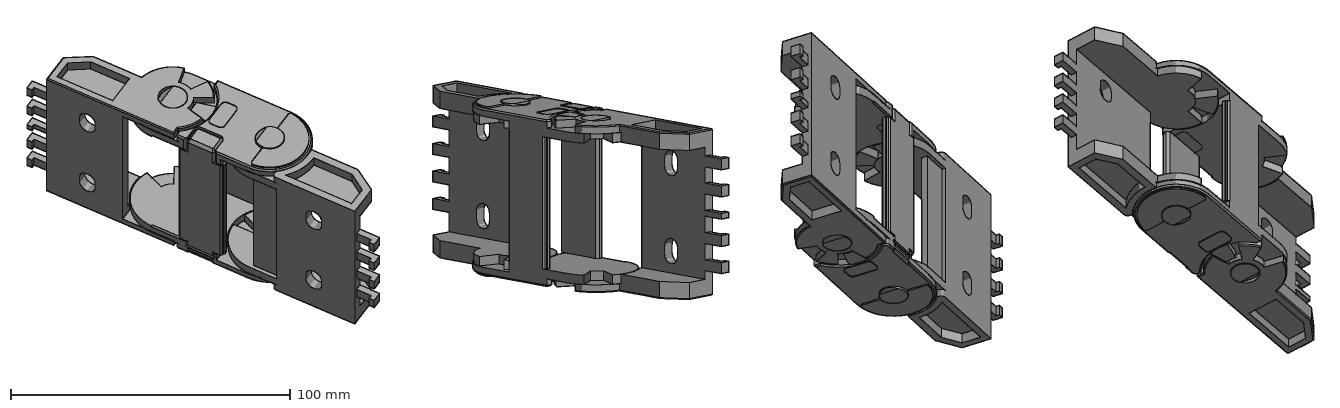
import cadquery as cq
import math

PIN_PITCH = 40.0
LEFT_PIN_X = -PIN_PITCH / 2
RIGHT_PIN_X = PIN_PITCH / 2

INNER_Z = 24.1
SPLIT_Z = 27.5
OUTER_Z = 30.4
CAP_Z = 31.0
PIN_TOP_Z = 62.4 / 2
LEFT_PIN_BOTTOM_Z = -30.7

BRACKET_RADIUS = 14.9
LINK_RADIUS = 30.5 / 2
BRACKET_SEAT_RADIUS = 15.6
LINK_SEAT_RADIUS = 15.9
TONGUE_SEAT_RADIUS = 15.3
PIN_RADIUS = 5.2
PIN_HOLE_RADIUS = 5.3
LEFT_FACET = (2.6, 1.7)
RIGHT_FACET = (1.7, 0.6)
BRACKET_CHAMFER = 0.5
LINK_CHAMFER = 0.6

BRACKET_END_X = 63.7
BRACKET_END_Y = -2.9
SHOULDER_X = 54.6
SHOULDER_Y = 3.0
PLATE_TOP_Y = -11.0
PLATE_STEP_Y = -13.5
LEFT_PLATE_END_X = -32.1
LEFT_DISC_FOOT_X = -11.0
RIGHT_PLATE_END_X = 31.3
RIGHT_LEDGE_END_X = 21.0
RIGHT_FOOT_X = 29.5
FOOT_ROUND = 1.7

SLOT_X = 46.7
SLOT_Z = 16.0
SLOT_WIDTH = 6.3
SLOT_LENGTH = 9.2

POCKET_DEPTH = 3.9
POCKET_END_X = 60.8
POCKET_END_Y = -4.6
POCKET_SHOULDER_X = 53.9
POCKET_TOP_Y = 0.0
POCKET_BOTTOM_Y = -12.2
LEFT_POCKET_INNER_X = -37.9
RIGHT_POCKET_RADIUS = 18.2

TINE_END_X = 71.7
TINE_HOOK = 2.2
TINE_WIDTH = 4.0
MIDDLE_TINE_WIDTH = 2.2
LEFT_TINE_Z = (9.0, 19.0)
RIGHT_TINE_Z = (5.0, 15.0)

HUB_RADIUS = 7.5
STOP_NOTCH_ANGLES = ((-14, 29), (61, 104))
REST_INNER_RADIUS = 8.5
REST_ANGLES = (-13.5, 15)
REST_OUTER_RADIUS = 16.5
REST_Z = 30.0
BLOCK_INNER_RADIUS = 6.9
BLOCK_ANGLES = (118, 157)
BLOCK_NOTCH_ANGLES = (75, 180)

LINK_OUTER_X = -10.3
LINK_INNER_X = 8.5
BAR_WIDTH = 19.0
BAR_THICKNESS = 3.5
BAR_STEP = 0.6
BAR_STEP_DEPTH = 1.3
BAR_CHAMFER = 0.6
BAR_REAR_CHAMFER = 1.0
INNER_EDGE_CHAMFER = 0.6
HALF_DISC_RADIUS = 14.0
HALF_DISC_ROUND = 1.1
LABEL_X, LABEL_Y = -0.3, 1.7
LABEL_SIZE = (6.3, 11.8)
LABEL_ROUND = 1.7
LABEL_DEPTH = 0.3
LUG_WIDTH = 11.8
LUG_TOP_Y = -7.5
LUG_CHAMFER = 1.1
LUG_FRONT_CHAMFER = 0.9
LUG_ROUND = 2.0
MOUTH_CHAMFER = 1.0
FOOT_WIDTH = 10.3
FOOT_Z = -26.1
FOOT_RELIEF_X = 6.7
GROOVE_HEIGHT = 0.9
GROOVE_DEPTH = 0.7
GROOVE_Z = -28.4

SEAT_ARC_ANGLE = -20
FAR = 43.0


def box(x_range, y_range, z_range):
    """Box between two limits along each axis."""
    lows, highs = zip(x_range, y_range, z_range)
    sizes = [high - low for low, high in zip(lows, highs)]
    return cq.Workplane("XY").box(*sizes, centered=False).translate(lows)


def disc(center_x, radius, z_range):
    """Disc around a hinge axis."""
    return (
        cq.Workplane("XY", origin=(center_x, 0, z_range[0]))
        .circle(radius)
        .extrude(z_range[1] - z_range[0])
    )


def on_circle(center_x, radius, degrees):
    angle = math.radians(degrees)
    return (center_x + radius * math.cos(angle), radius * math.sin(angle))


def sector(center_x, radii, angles, z_range):
    """Ring sector around a hinge axis."""
    inner, outer = radii
    start, end = angles
    middle = (start + end) / 2
    return (
        cq.Workplane("XY", origin=(0, 0, z_range[0]))
        .moveTo(*on_circle(center_x, inner, start))
        .lineTo(*on_circle(center_x, outer, start))
        .threePointArc(on_circle(center_x, outer, middle), on_circle(center_x, outer, end))
        .lineTo(*on_circle(center_x, inner, end))
        .threePointArc(on_circle(center_x, inner, middle), on_circle(center_x, inner, start))
        .close()
        .extrude(z_range[1] - z_range[0])
    )


def both_sides(shape):
    """The shape and its mirror image below the middle plane."""
    return shape.union(shape.mirror("XY"))


def circle_x(radius, y):
    """Half chord of a hinge circle at height y."""
    return math.sqrt(radius**2 - y**2)


def hinge_pin(center_x, top_z, facet):
    """Pin standing on a tongue, with a sloping facet on its -X side."""
    facet_width, facet_drop = facet
    pin = disc(center_x, PIN_RADIUS, (SPLIT_Z, top_z))
    left_x = center_x - PIN_RADIUS
    wedge = (
        cq.Workplane("XZ")
        .polyline([(left_x, top_z - facet_drop), (left_x + facet_width, top_z), (left_x, top_z)])
        .close()
        .extrude(PIN_RADIUS, both=True)
    )
    return pin.cut(wedge)


def screw_slots(side):
    """Two long holes through a base plate; side is -1 for the left bracket, 1 for the right."""
    return (
        cq.Workplane("XZ")
        .pushPoints([(side * SLOT_X, -SLOT_Z), (side * SLOT_X, SLOT_Z)])
        .slot2D(SLOT_LENGTH, SLOT_WIDTH, 90)
        .extrude(BRACKET_RADIUS)
    )


def tine(side, z, width):
    """Comb tine with a hooked end."""
    root_x, tip_x = side * BRACKET_END_X, side * TINE_END_X
    hook_x = tip_x - side * TINE_HOOK
    return (
        cq.Workplane("XY", origin=(0, 0, z - width / 2))
        .polyline([
            (root_x, PLATE_TOP_Y),
            (tip_x, PLATE_TOP_Y),
            (tip_x, -BRACKET_RADIUS),
            (hook_x, -BRACKET_RADIUS),
            (hook_x, PLATE_STEP_Y),
            (root_x, PLATE_STEP_Y),
        ])
        .close()
        .extrude(width)
    )


def left_outer_plate():
    """Outer layer of a side wall; two notches in its disc leave a stop between them."""
    disc_x = LEFT_PIN_X - circle_x(BRACKET_RADIUS, SHOULDER_Y)
    foot_y = -circle_x(BRACKET_RADIUS, LEFT_DISC_FOOT_X - LEFT_PIN_X)
    plate = (
        cq.Workplane("XY", origin=(0, 0, SPLIT_Z))
        .moveTo(-BRACKET_END_X, -BRACKET_RADIUS)
        .lineTo(-BRACKET_END_X, BRACKET_END_Y)
        .lineTo(-SHOULDER_X, SHOULDER_Y)
        .lineTo(disc_x, SHOULDER_Y)
        .threePointArc((LEFT_PIN_X, BRACKET_RADIUS), (LEFT_DISC_FOOT_X, foot_y))
        .lineTo(LEFT_DISC_FOOT_X, -BRACKET_RADIUS)
        .close()
        .extrude(OUTER_Z - SPLIT_Z)
        .faces(">Z")
        .chamfer(BRACKET_CHAMFER)
        .cut(disc(LEFT_PIN_X, PIN_HOLE_RADIUS, (SPLIT_Z, OUTER_Z)))
    )
    for angles in STOP_NOTCH_ANGLES:
        plate = plate.cut(sector(LEFT_PIN_X, (HUB_RADIUS, FAR), angles, (SPLIT_Z, OUTER_Z)))
    return plate


def left_inner_wall():
    return (
        cq.Workplane("XY", origin=(0, 0, INNER_Z))
        .polyline([
            (-BRACKET_END_X, -BRACKET_RADIUS),
            (-BRACKET_END_X, BRACKET_END_Y),
            (-SHOULDER_X, SHOULDER_Y),
            (LEFT_PLATE_END_X, SHOULDER_Y),
            (LEFT_PLATE_END_X, -BRACKET_RADIUS),
        ])
        .close()
        .extrude(SPLIT_Z - INNER_Z)
        .cut(disc(LEFT_PIN_X, BRACKET_SEAT_RADIUS, (INNER_Z, SPLIT_Z)))
    )


def left_pocket():
    return (
        cq.Workplane("XY", origin=(0, 0, OUTER_Z - POCKET_DEPTH))
        .polyline([
            (-POCKET_END_X, POCKET_BOTTOM_Y),
            (-POCKET_END_X, POCKET_END_Y),
            (-POCKET_SHOULDER_X, POCKET_TOP_Y),
            (LEFT_POCKET_INNER_X, POCKET_TOP_Y),
            (LEFT_POCKET_INNER_X, POCKET_BOTTOM_Y),
        ])
        .close()
        .extrude(POCKET_DEPTH)
    )


def make_left_bracket():
    side_wall = left_outer_plate().union(left_inner_wall()).cut(left_pocket())
    base = box(
        (-BRACKET_END_X, LEFT_PLATE_END_X), (-BRACKET_RADIUS, PLATE_TOP_Y), (-INNER_Z, INNER_Z)
    )
    bracket = both_sides(side_wall).union(base).cut(screw_slots(-1))
    bracket = bracket.union(tine(-1, 0, MIDDLE_TINE_WIDTH))
    for z in LEFT_TINE_Z:
        bracket = bracket.union(both_sides(tine(-1, z, TINE_WIDTH)))
    return bracket


def right_side_wall():
    seat_top_x = RIGHT_PIN_X + circle_x(BRACKET_SEAT_RADIUS, SHOULDER_Y)
    foot_y = -circle_x(BRACKET_SEAT_RADIUS, RIGHT_FOOT_X - RIGHT_PIN_X)
    seat_middle = on_circle(RIGHT_PIN_X, BRACKET_SEAT_RADIUS, SEAT_ARC_ANGLE)
    return (
        cq.Workplane("XY", origin=(0, 0, INNER_Z))
        .moveTo(BRACKET_END_X, -BRACKET_RADIUS)
        .lineTo(BRACKET_END_X, BRACKET_END_Y)
        .lineTo(SHOULDER_X, SHOULDER_Y)
        .lineTo(seat_top_x, SHOULDER_Y)
        .threePointArc(seat_middle, (RIGHT_FOOT_X, foot_y))
        .lineTo(RIGHT_FOOT_X, FOOT_ROUND - BRACKET_RADIUS)
        .radiusArc((RIGHT_FOOT_X + FOOT_ROUND, -BRACKET_RADIUS), -FOOT_ROUND)
        .close()
        .extrude(OUTER_Z - INNER_Z)
    )


def right_tongue():
    tongue_z = (INNER_Z, SPLIT_Z)
    neck_end_x = RIGHT_PIN_X + BRACKET_SEAT_RADIUS
    return (
        disc(RIGHT_PIN_X, BRACKET_RADIUS, tongue_z)
        .union(box((RIGHT_PIN_X, neck_end_x), (-BRACKET_RADIUS, SHOULDER_Y), tongue_z))
        .cut(sector(RIGHT_PIN_X, (BLOCK_INNER_RADIUS, FAR), BLOCK_NOTCH_ANGLES, tongue_z))
    )


def right_pocket():
    top_x = RIGHT_PIN_X + circle_x(RIGHT_POCKET_RADIUS, POCKET_TOP_Y)
    bottom_x = RIGHT_PIN_X + circle_x(RIGHT_POCKET_RADIUS, POCKET_BOTTOM_Y)
    wall_middle = on_circle(RIGHT_PIN_X, RIGHT_POCKET_RADIUS, SEAT_ARC_ANGLE)
    return (
        cq.Workplane("XY", origin=(0, 0, OUTER_Z - POCKET_DEPTH))
        .moveTo(POCKET_END_X, POCKET_BOTTOM_Y)
        .lineTo(POCKET_END_X, POCKET_END_Y)
        .lineTo(POCKET_SHOULDER_X, POCKET_TOP_Y)
        .lineTo(top_x, POCKET_TOP_Y)
        .threePointArc(wall_middle, (bottom_x, POCKET_BOTTOM_Y))
        .close()
        .extrude(POCKET_DEPTH)
    )


def make_right_bracket():
    side_wall = (
        right_side_wall()
        .union(right_tongue())
        .cut(right_pocket())
        .union(hinge_pin(RIGHT_PIN_X, PIN_TOP_Z, RIGHT_FACET))
    )
    clear_z = (-INNER_Z, INNER_Z)
    base = box((RIGHT_PLATE_END_X, BRACKET_END_X), (-BRACKET_RADIUS, PLATE_TOP_Y), clear_z)
    ledge = box((RIGHT_LEDGE_END_X, RIGHT_PLATE_END_X), (PLATE_STEP_Y, PLATE_TOP_Y), clear_z)
    bracket = both_sides(side_wall).union(base).union(ledge).cut(screw_slots(1))
    for z in RIGHT_TINE_Z:
        bracket = bracket.union(both_sides(tine(1, z, TINE_WIDTH)))
    return bracket


def link_tongue():
    """Inner layer of a link side wall: left hinge disc and the middle of the wall."""
    layer = (INNER_Z, SPLIT_Z)
    notch = sector(LEFT_PIN_X, (BLOCK_INNER_RADIUS, FAR), BLOCK_ANGLES, layer)
    block = sector(RIGHT_PIN_X, (BLOCK_INNER_RADIUS, BRACKET_RADIUS), BLOCK_ANGLES, layer)
    return (
        disc(LEFT_PIN_X, LINK_RADIUS, layer)
        .union(box((LEFT_PIN_X, LINK_INNER_X), (-LINK_RADIUS, LINK_RADIUS), layer))
        .cut(notch)
        .cut(disc(RIGHT_PIN_X, TONGUE_SEAT_RADIUS, layer))
        .union(block)
    )


def link_outer_plate():
    """Outer layer of a link side wall: the middle of the wall and the right hinge disc."""
    layer = (SPLIT_Z, OUTER_Z)
    return (
        cq.Workplane("XY", origin=(0, 0, SPLIT_Z))
        .moveTo(LINK_OUTER_X, LINK_RADIUS)
        .lineTo(RIGHT_PIN_X, LINK_RADIUS)
        .threePointArc((RIGHT_PIN_X + LINK_RADIUS, 0), (RIGHT_PIN_X, -LINK_RADIUS))
        .lineTo(LINK_OUTER_X + FOOT_ROUND, -LINK_RADIUS)
        .radiusArc((LINK_OUTER_X, FOOT_ROUND - LINK_RADIUS), FOOT_ROUND)
        .close()
        .extrude(OUTER_Z - SPLIT_Z)
        .cut(disc(LEFT_PIN_X, LINK_SEAT_RADIUS, layer))
        .faces(">Z")
        .chamfer(LINK_CHAMFER)
    )


def raised_half_disc():
    cap = disc(RIGHT_PIN_X, HALF_DISC_RADIUS, (OUTER_Z, CAP_Z))
    right_half = box((RIGHT_PIN_X, RIGHT_PIN_X + FAR), (-FAR, FAR), (OUTER_Z, CAP_Z))
    pin_hole = disc(RIGHT_PIN_X, PIN_HOLE_RADIUS, (OUTER_Z, CAP_Z))
    return cap.intersect(right_half).cut(pin_hole).edges("|Z").fillet(HALF_DISC_ROUND)


def link_rest():
    """Stop block on the left tongue, resting against one end of a bracket notch."""
    return sector(LEFT_PIN_X, (REST_INNER_RADIUS, REST_OUTER_RADIUS), REST_ANGLES, (SPLIT_Z, REST_Z))


def label_recess():
    return (
        cq.Workplane("XY", origin=(LABEL_X, LABEL_Y, OUTER_Z - LABEL_DEPTH))
        .rect(*LABEL_SIZE)
        .extrude(LABEL_DEPTH)
        .edges("|Z")
        .fillet(LABEL_ROUND)
    )


def crossbar_body():
    """Front cross member with chamfered, stepped long edges; mirrored, also the rear bar of the link."""
    half_width = BAR_WIDTH / 2
    step_x = half_width - BAR_STEP
    face_x = step_x - BAR_CHAMFER
    front_y = -LINK_RADIUS
    step_y = front_y + BAR_STEP_DEPTH
    rear_y = front_y + BAR_THICKNESS
    return (
        cq.Workplane("XY", origin=(0, 0, -INNER_Z))
        .moveTo(0, front_y)
        .lineTo(face_x, front_y)
        .lineTo(step_x, front_y + BAR_CHAMFER)
        .lineTo(step_x, step_y)
        .lineTo(half_width, step_y)
        .lineTo(half_width, rear_y - BAR_REAR_CHAMFER)
        .lineTo(half_width - BAR_REAR_CHAMFER, rear_y)
        .lineTo(0, rear_y)
        .mirrorY()
        .extrude(2 * INNER_Z)
    )


def crossbar_foot():
    return box(
        (-FOOT_WIDTH / 2, FOOT_WIDTH / 2), (-LINK_RADIUS, BAR_THICKNESS - LINK_RADIUS), (FOOT_Z, -INNER_Z)
    )


def lug_block():
    """Block at the upper end of the crossbar, with its two rear corners rounded."""
    return (
        box((-LUG_WIDTH / 2, LUG_WIDTH / 2), (-LINK_RADIUS, LUG_TOP_Y), (INNER_Z, OUTER_Z))
        .edges("|Z and >Y")
        .fillet(LUG_ROUND)
    )


def lug_mouth():
    """Flared front end of the link opening around the lug."""
    inner_x = LUG_WIDTH / 2
    outer_x = inner_x + MOUTH_CHAMFER
    return (
        cq.Workplane("XY", origin=(0, 0, INNER_Z))
        .polyline([
            (-outer_x, -LINK_RADIUS),
            (outer_x, -LINK_RADIUS),
            (inner_x, MOUTH_CHAMFER - LINK_RADIUS),
            (-inner_x, MOUTH_CHAMFER - LINK_RADIUS),
        ])
        .close()
        .extrude(OUTER_Z - INNER_Z)
    )


def front_edge_cut(half_width, section):
    """Prism along X that cuts the front edge; section lists (depth, Z) points."""
    return (
        cq.Workplane("YZ")
        .polyline([(depth - LINK_RADIUS, z) for depth, z in section])
        .close()
        .extrude(half_width, both=True)
    )


def foot_cuts():
    """Flared opening below the crossbar foot, with a notch and a bevel in the edge under it."""
    mouth = front_edge_cut(
        LUG_WIDTH / 2, [(0, FOOT_Z), (MOUTH_CHAMFER, FOOT_Z), (0, FOOT_Z - MOUTH_CHAMFER)]
    )
    groove = front_edge_cut(
        FOOT_WIDTH / 2, [(0, GROOVE_Z + GROOVE_HEIGHT), (GROOVE_DEPTH, GROOVE_Z), (0, GROOVE_Z)]
    )
    bevel = front_edge_cut(
        FOOT_WIDTH / 2, [(0, MOUTH_CHAMFER - OUTER_Z), (MOUTH_CHAMFER, -OUTER_Z), (0, -OUTER_Z)]
    )
    relief = box((FOOT_RELIEF_X, LINK_INNER_X), (-LINK_RADIUS, 0), (-SPLIT_Z, -INNER_Z))
    return mouth.union(groove).union(bevel).union(relief)


def inner_edge_bevel():
    """Bevel along the inner front edge of a side wall, from the left hinge to the right cavity."""
    return (
        cq.Workplane("YZ", origin=(LEFT_PIN_X, 0, 0))
        .polyline([
            (-LINK_RADIUS, INNER_Z),
            (INNER_EDGE_CHAMFER - LINK_RADIUS, INNER_Z),
            (-LINK_RADIUS, INNER_Z + INNER_EDGE_CHAMFER),
        ])
        .close()
        .extrude(LINK_INNER_X - LEFT_PIN_X)
    )


def make_link():
    side_wall = (
        link_tongue()
        .cut(inner_edge_bevel())
        .union(link_outer_plate())
        .union(raised_half_disc())
        .cut(disc(RIGHT_PIN_X, PIN_HOLE_RADIUS, (SPLIT_Z, OUTER_Z)))
        .union(link_rest())
        .cut(label_recess())
    )
    upper_pin = hinge_pin(LEFT_PIN_X, OUTER_Z, LEFT_FACET)
    lower_pin = hinge_pin(LEFT_PIN_X, -LEFT_PIN_BOTTOM_Z, LEFT_FACET).mirror("XY")
    rear_bar = crossbar_body().mirror("XZ")
    return (
        both_sides(side_wall)
        .union(upper_pin)
        .union(lower_pin)
        .union(rear_bar)
        .cut(lug_block())
        .cut(lug_mouth())
        .cut(crossbar_foot())
        .cut(foot_cuts())
    )


def make_crossbar():
    lug = (
        lug_block()
        .edges("|Z and <Y")
        .chamfer(LUG_FRONT_CHAMFER)
        .faces(">Z")
        .chamfer(LUG_CHAMFER)
    )
    return crossbar_body().union(lug).union(crossbar_foot())


left_bracket = make_left_bracket()
right_bracket = make_right_bracket()
link = make_link()
crossbar = make_crossbar()

result = cq.Compound.makeCompound([
    left_bracket.solids().val(),
    right_bracket.solids().val(),
    link.solids().val(),
    crossbar.solids().val(),
])